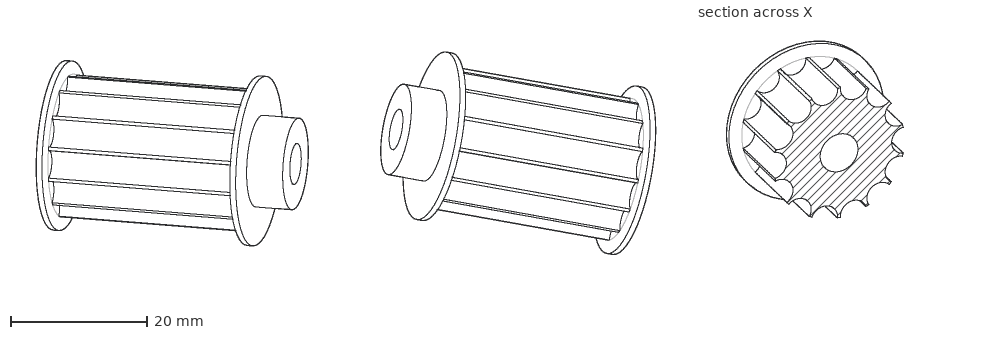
import cadquery as cq
import math

total_length = 36.0
hub_length = 5.5
pulley_length = total_length - hub_length

flange_diameter = 25.0
tooth_diameter = 21.15
flange_seat_diameter = tooth_diameter
hub_diameter = 13.5
bore_diameter = 6.0

rim_thickness = 0.9
cone_height = 0.35
flange_thickness = rim_thickness + cone_height

tooth_count = 14
land_width = 0.55
groove_depth = 2.05


def cylinder(diameter, start, length):
    """Cylinder on the X axis beginning at x = start."""
    return cq.Workplane("YZ", origin=(start, 0, 0)).circle(diameter / 2).extrude(length)


def flange():
    """Flange with its flat face at x = 0 and its cone toward +X."""
    profile = [
        (0, 0),
        (0, flange_diameter / 2),
        (rim_thickness, flange_diameter / 2),
        (flange_thickness, flange_seat_diameter / 2),
        (flange_thickness, 0),
    ]
    return cq.Workplane("XY").polyline(profile).close().revolve(360, (0, 0, 0), (1, 0, 0))


def toothed_core():
    """Core between the flanges, with one land centred on +Z."""
    tooth_radius = tooth_diameter / 2
    pitch_angle = 2 * math.pi / tooth_count
    half_groove_angle = pitch_angle / 2 - math.asin(land_width / tooth_diameter)

    half_chord = tooth_radius * math.sin(half_groove_angle)
    bottom_radius = tooth_radius - groove_depth
    sagitta = tooth_radius * math.cos(half_groove_angle) - bottom_radius
    groove_radius = (half_chord**2 + sagitta**2) / (2 * sagitta)
    groove_centre = bottom_radius + groove_radius

    length = pulley_length - 2 * flange_thickness
    grooves = (
        cq.Workplane("YZ", origin=(flange_thickness, 0, 0))
        .polarArray(groove_centre, 90 + math.degrees(pitch_angle) / 2, 360, tooth_count)
        .circle(groove_radius)
        .extrude(length)
    )
    return cylinder(tooth_diameter, flange_thickness, length).cut(grooves)


left_flange = flange()
right_flange = left_flange.mirror("YZ").translate((pulley_length, 0, 0))
hub = cylinder(hub_diameter, pulley_length, hub_length)
bore = cylinder(bore_diameter, 0, total_length)

result = toothed_core().union(left_flange).union(right_flange).union(hub).cut(bore)